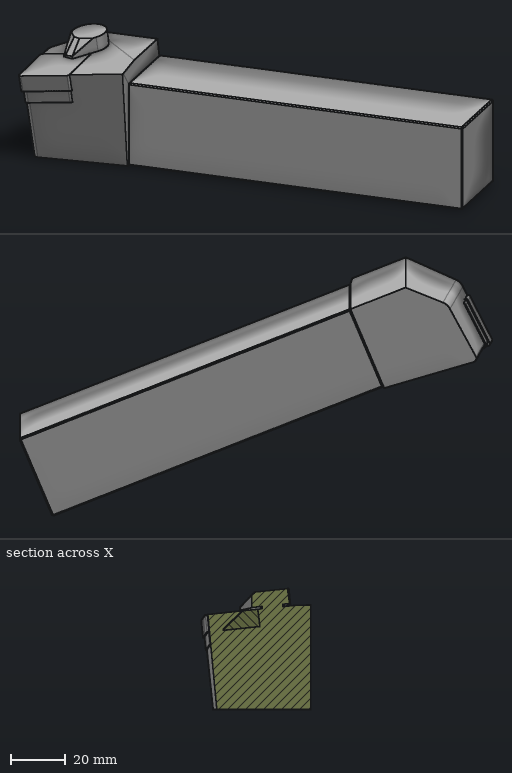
import cadquery as cq
import math

SHANK_END_X = 170.0
SHANK_SIZE = 32.0
SHANK_CHAMFER = 0.5

HEAD_END_X = 39.8
HEAD_HEIGHT = 38.0
HEAD_REACH = 51.0
HEAD_DEPTH = 51.0
END_SETBACK = 0.7
END_FRONT_DROP = 4.5
BACK_BEVEL_OFFSET = 22.0
BEVEL_FILLET = 5.1
HEAD_INSET = 0.76
HEAD_NOSE_RADIUS = 1.5

NOSE_X = -0.08
NOSE_Y = -40.04
NOSE_Z = 32.3
TILT = 8.4

INSERT_SIDE = 19.4
NOSE_ANGLE = 80.0
INSERT_THICKNESS = 6.3
INSERT_RADIUS = 0.8
SHIM_THICKNESS = 4.8
SHIM_INSET = 0.42
SHIM_RADIUS = 1.5

CLAMP_CENTER = (18.9, 26.4)
CLAMP_RADIUS = 6.6
CLAMP_HEIGHT = 6.3
TIP_HEIGHT = 1.7
TIP_LEFT = (12.0, 16.2)
TIP_MIDDLE = (13.5, 15.59)
TIP_RIGHT = (16.2, 14.5)
CLAMP_GAP = 0.7
STEM_RADIUS = 4.2
BEVEL_TOPS = [(12.2, 25.5), (15.0, 21.5), (17.5, 20.0), (22.3, 20.7)]
BEVEL_LOWS = [TIP_MIDDLE, TIP_RIGHT, TIP_RIGHT]
CUTTER_SIZE = 68.0

EDGE_LEAN = math.radians((90.0 - NOSE_ANGLE) / 2)
EDGE_SLOPE = math.tan(EDGE_LEAN)


def seat_to_tool(body):
    """Tilt a body from seat coordinates and set its nose in place."""
    tilted = body.rotate((0, 0, 0), (1, -1, 0), TILT)
    return tilted.translate((NOSE_X, NOSE_Y, NOSE_Z))


def inset_corner(inset):
    """Coordinate u = v of the nose corner when both edges move in by inset."""
    return inset / (math.cos(EDGE_LEAN) * (1 - EDGE_SLOPE))


def rhombus(inset, radius, top, thickness):
    """Rounded rhombic plate below height top; only the two nose edges move in by inset."""
    near = inset_corner(inset)
    side = INSERT_SIDE - inset / math.sin(math.radians(NOSE_ANGLE))
    along = side * math.cos(EDGE_LEAN)
    across = side * math.sin(EDGE_LEAN)
    points = [
        (near, near),
        (near + along, near + across),
        (near + along + across, near + along + across),
        (near + across, near + along),
    ]
    plate = cq.Workplane("XY").workplane(offset=top).polyline(points).close().extrude(-thickness)
    return plate.edges("|Z").fillet(radius)


def make_shank():
    """Square bar with every edge chamfered, starting at the end face of the head."""
    return (
        cq.Workplane("YZ").workplane(offset=HEAD_END_X).center(-SHANK_SIZE / 2, SHANK_SIZE / 2)
        .rect(SHANK_SIZE, SHANK_SIZE).extrude(SHANK_END_X - HEAD_END_X)
        .edges().chamfer(SHANK_CHAMFER)
    )


def make_head_block():
    """Head prism with walls square to the seat, still in seat coordinates."""
    near = inset_corner(HEAD_INSET)
    bevel_u = (near + EDGE_SLOPE * (BACK_BEVEL_OFFSET - near)) / (1 - EDGE_SLOPE)
    points = [
        (near, near),
        (HEAD_REACH, near + EDGE_SLOPE * (HEAD_REACH - near)),
        (HEAD_REACH, HEAD_REACH + BACK_BEVEL_OFFSET),
        (bevel_u, bevel_u + BACK_BEVEL_OFFSET),
    ]
    block = cq.Workplane("XY").polyline(points).close().extrude(-HEAD_DEPTH)
    nose_middle = (near, near, -HEAD_DEPTH / 2)
    bevel_middle = (bevel_u, bevel_u + BACK_BEVEL_OFFSET, -HEAD_DEPTH / 2)
    block = block.edges(cq.selectors.NearestToPointSelector(nose_middle)).fillet(HEAD_NOSE_RADIUS)
    return block.edges(cq.selectors.NearestToPointSelector(bevel_middle)).fillet(BEVEL_FILLET)


def trim_head(head):
    """Cut the head to its flat top, bottom, back and leaning end faces."""
    side_profile = [
        (0, 0),
        (HEAD_END_X, 0),
        (HEAD_END_X, SHANK_SIZE),
        (HEAD_END_X - END_SETBACK, HEAD_HEIGHT),
        (0, HEAD_HEIGHT),
    ]
    plan_profile = [
        (0, 0),
        (HEAD_END_X, 0),
        (HEAD_END_X, -SHANK_SIZE),
        (HEAD_END_X - END_SETBACK, -SHANK_SIZE - END_FRONT_DROP),
        (HEAD_END_X - END_SETBACK, NOSE_Y),
        (0, NOSE_Y),
    ]
    side = cq.Workplane("XZ").polyline(side_profile).close().extrude(-NOSE_Y)
    plan = cq.Workplane("XY").polyline(plan_profile).close().extrude(HEAD_HEIGHT)
    return head.intersect(side).intersect(plan)


def bevel_cutter(start, end, low):
    """Block above the plane through two clamp top points and one tip point."""
    origin = cq.Vector(*start, CLAMP_HEIGHT)
    along = cq.Vector(*end, CLAMP_HEIGHT) - origin
    down = cq.Vector(*low, TIP_HEIGHT) - origin
    plane = cq.Plane(origin=origin, xDir=along, normal=down.cross(along))
    return cq.Workplane(plane).rect(CUTTER_SIZE, CUTTER_SIZE).extrude(CUTTER_SIZE)


def make_clamp():
    """Round clamp with a bevelled tongue that reaches over the insert."""
    reach = CLAMP_RADIUS * math.sqrt(0.5)
    tangent = (CLAMP_CENTER[0] + reach, CLAMP_CENTER[1] - reach)
    tongue_points = [TIP_LEFT, TIP_RIGHT, tangent, CLAMP_CENTER, (TIP_LEFT[0], CLAMP_CENTER[1])]
    tongue = (
        cq.Workplane("XY").workplane(offset=CLAMP_GAP).polyline(tongue_points).close()
        .extrude(CLAMP_HEIGHT - CLAMP_GAP)
    )
    disc = (
        cq.Workplane("XY").workplane(offset=CLAMP_GAP).center(*CLAMP_CENTER)
        .circle(CLAMP_RADIUS).extrude(CLAMP_HEIGHT - CLAMP_GAP)
    )
    stem = (
        cq.Workplane("XY").workplane(offset=-INSERT_THICKNESS).center(*CLAMP_CENTER)
        .circle(STEM_RADIUS).extrude(INSERT_THICKNESS + CLAMP_GAP)
    )
    clamp = disc.union(tongue).union(stem)
    for start, end, low in zip(BEVEL_TOPS, BEVEL_TOPS[1:], BEVEL_LOWS):
        clamp = clamp.cut(bevel_cutter(start, end, low))
    return clamp


def make_insert():
    return seat_to_tool(rhombus(0, INSERT_RADIUS, 0, INSERT_THICKNESS))


def make_holder(insert):
    shim = seat_to_tool(rhombus(SHIM_INSET, SHIM_RADIUS, -INSERT_THICKNESS, SHIM_THICKNESS))
    head = trim_head(seat_to_tool(make_head_block()))
    holder = make_shank().union(head).union(shim)
    return holder.union(seat_to_tool(make_clamp())).cut(insert)


insert = make_insert()
holder = make_holder(insert)
result = cq.Compound.makeCompound([holder.val(), insert.val()])